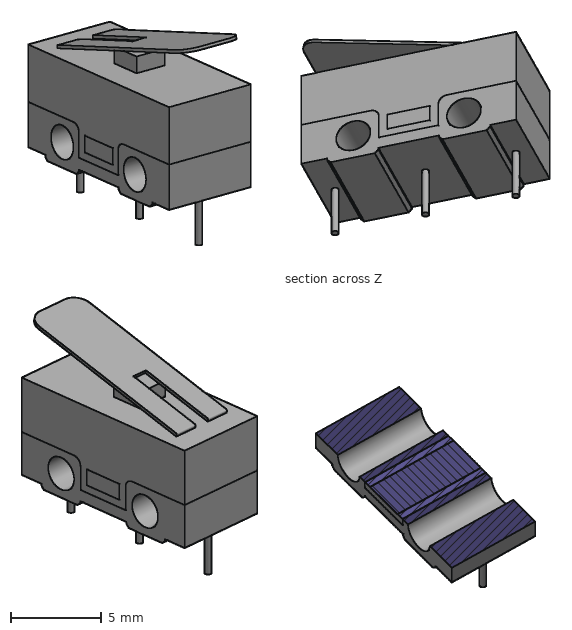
import cadquery as cq


case_length = 12.6
case_depth = 5.8
case_height = 6.1
cover_side_height = 3.4
split_z = case_height - cover_side_height
half_length = case_length / 2

tongue_width = 3.5
tongue_bottom_z = 0.72
tongue_root_radius = 0.5
latch_width = 2.5
latch_height = 1.0
latch_bottom_z = tongue_bottom_z + 0.47

hole_diameter = 2.0
hole_spacing = 6.49
hole_z = 1.2
foot_spacing = 6.56
foot_length = 3.01
foot_height = 0.31
foot_chamfer = 0.21

pin_diameter = 0.4
pin_length = 3.0
pin_pitch = 5.3

plunger_side = 2.0
plunger_height = 1.0

lever_length = 11.99
lever_width = 4.0
lever_thickness = 0.2
lever_angle = 15
lever_heel_x = 1.5 - half_length
lever_heel_radius = 0.1
lever_tip_radius = 1.0
slot_length = 5.0
slot_width = 1.0


def centred_block(length, depth, height, x, bottom_z):
    """Block centred on the given X and on Y = 0, standing on bottom_z."""
    return (
        cq.Workplane("XY", origin=(x, 0, bottom_z))
        .box(length, depth, height, centered=(True, True, False))
    )


def make_cover():
    """Upper case half with a tongue that flares into it and a window for the latch."""
    half_tongue = tongue_width / 2
    half_root = half_tongue + tongue_root_radius
    arc_start_z = split_z - tongue_root_radius
    cover = (
        cq.Workplane("XZ")
        .moveTo(-half_length, case_height)
        .lineTo(-half_length, split_z)
        .lineTo(-half_root, split_z)
        .radiusArc((-half_tongue, arc_start_z), tongue_root_radius)
        .lineTo(-half_tongue, tongue_bottom_z)
        .lineTo(half_tongue, tongue_bottom_z)
        .lineTo(half_tongue, arc_start_z)
        .radiusArc((half_root, split_z), tongue_root_radius)
        .lineTo(half_length, split_z)
        .lineTo(half_length, case_height)
        .close()
        .extrude(case_depth / 2, both=True)
    )
    return cover.cut(make_latch())


def make_latch():
    """Bar that fills the window in the cover tongue."""
    return centred_block(latch_width, case_depth, latch_height, 0, latch_bottom_z)


def make_foot(x):
    """Shallow foot below a mounting hole, chamfered along its two lower side edges."""
    return (
        centred_block(foot_length, case_depth, foot_height, x, -foot_height)
        .edges("|Y and <Z")
        .chamfer(foot_chamfer)
    )


def make_base(cover, latch):
    """Lower case half that receives the cover tongue, with two feet and two holes."""
    base = centred_block(case_length, case_depth, split_z, 0, 0).cut(cover).cut(latch)
    hole_centres = [(side * hole_spacing / 2, hole_z) for side in (-1, 1)]
    for side in (-1, 1):
        base = base.union(make_foot(side * foot_spacing / 2))
    holes = (
        cq.Workplane("XZ")
        .pushPoints(hole_centres)
        .circle(hole_diameter / 2)
        .extrude(case_depth / 2, both=True)
    )
    return base.cut(holes)


def make_pin(x):
    """Round terminal hanging from the underside of the base."""
    return (
        cq.Workplane("XY", origin=(x, 0, -pin_length))
        .circle(pin_diameter / 2)
        .extrude(pin_length)
    )


def make_plunger():
    """Square button on top of the cover."""
    return centred_block(plunger_side, plunger_side, plunger_height, 0, case_height)


def make_lever():
    """Forked flat spring, modelled flat from its heel and tilted about the heel edge."""
    blade = (
        cq.Workplane("XY")
        .box(lever_length, lever_width, lever_thickness, centered=(False, True, False))
        .edges("|Z and >X")
        .fillet(lever_tip_radius)
        .edges("<X and >Z")
        .fillet(lever_heel_radius)
    )
    slot = (
        cq.Workplane("XY")
        .box(slot_length, slot_width, lever_thickness, centered=(False, True, False))
    )
    return (
        blade.cut(slot)
        .rotate((0, 0, 0), (0, 1, 0), -lever_angle)
        .translate((lever_heel_x, 0, case_height))
    )


cover = make_cover()
latch = make_latch()
base = make_base(cover, latch)
plunger = make_plunger()
lever = make_lever()
pins = [make_pin(position * pin_pitch) for position in (-1, 0, 1)]

result = cq.Compound.makeCompound([
    cover.solids().val(),
    latch.val(),
    base.solids().val(),
    plunger.val(),
    lever.solids().val(),
    *[pin.val() for pin in pins],
])